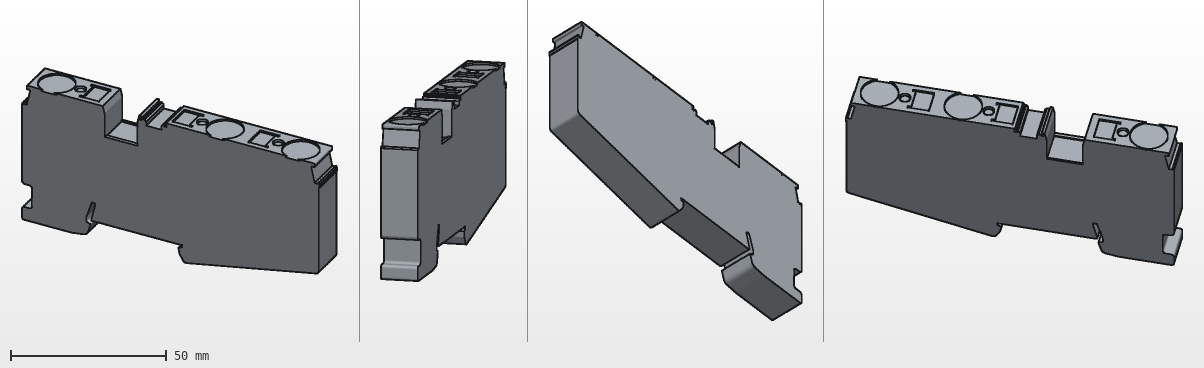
import cadquery as cq
import math

length = 108.1
thickness = 12.2
height = 50.6
mid_y = thickness / 2


def mirrored(x):
    """X of the matching place at the other end."""
    return length - x


right_edge = 107.9
tab_x = 1.7
tab_bottom = height - 1.4
tab_radius = 0.4
tab_lower_radius = 0.2
neck_x = 3.0
neck_radius = 0.4
ledge_z = 43.4
lip_z = ledge_z + 0.4
lip_crest_x = 0.3
lip_drop = 0.6
lip_width = 0.6
bead_bottom = 42.0

notch_left = 30.1
notch_right = 42.0
notch_floor = 39.2
notch_flare_z = 48.0
notch_flare = 0.6
groove_left = 45.2
groove_right = 50.7
groove_floor = 47.7
shoulder_z = 49.7
shoulder_chamfer = 0.6
undercut_z = 49.2

rail_floor = 6.5
rail_right = 58.2
foot_notch_x = 3.7
foot_notch_top = 13.4
foot_notch_bottom = 4.9
foot_radius = 1.0
foot_notch_lip_radius = 1.3

floor_front_rim = 1.3
floor_back_rim = 0.6
floor_depth = 0.4

first_entry_x = 9.7
middle_entry_x = 70.8
stations = [(first_entry_x, 1), (middle_entry_x, -1), (mirrored(first_entry_x), -1)]
recess_depth = 0.6
entry_diameter = thickness
entry_y = 5.7
test_hole_offset = 8.4
test_hole_diameter = 3.0
test_hole_rim = 3.7
slot_arm_offset = 10.2
slot_near_offset = 11.2
slot_far_offset = 17.2
slot_width = 8.3
slot_arm_width = 0.6


def rounded_outline(corners):
    """Closed XZ outline through (x, z, radius) corners; a zero radius leaves the corner sharp."""
    legs = []
    for i, (x, z, radius) in enumerate(corners):
        corner = cq.Vector(x, z, 0)
        before = cq.Vector(*corners[i - 1][:2], 0)
        after = cq.Vector(*corners[(i + 1) % len(corners)][:2], 0)
        to_before = (before - corner).normalized()
        to_after = (after - corner).normalized()
        half_angle = to_before.getAngle(to_after) / 2
        setback = radius / math.tan(half_angle)
        bisector = (to_before + to_after).normalized()
        middle = corner + bisector * (radius / math.sin(half_angle) - radius)
        legs.append((corner + to_before * setback, middle, corner + to_after * setback, radius))

    outline = cq.Workplane("XZ").moveTo(*legs[0][2].toTuple()[:2])
    for start, middle, end, radius in legs[1:] + legs[:1]:
        outline = outline.lineTo(start.x, start.y)
        if radius > 0:
            outline = outline.threePointArc((middle.x, middle.y), (end.x, end.y))
    return outline.close()


def housing():
    left_nose = [
        (0, lip_z - lip_drop, 0),
        (lip_crest_x, lip_z, 0),
        (lip_width, ledge_z, 0),
        (tab_x, ledge_z, 0),
        (neck_x, tab_bottom, neck_radius),
        (tab_x, tab_bottom, tab_lower_radius),
        (tab_x, height, tab_radius),
    ]
    marker_notch = [
        (notch_left - notch_flare, height, 0),
        (notch_left, notch_flare_z, 0),
        (notch_left, notch_floor, 0),
        (notch_right, notch_floor, 0),
        (notch_right, notch_flare_z, 0),
        (notch_right + notch_flare, height, 0),
    ]
    latch_groove = [
        (43.5, height, 0.3),
        (43.6, 50.0, 0.2),
        (43.0, 50.0, 0),
        (43.0, undercut_z, 0),
        (43.5, undercut_z, 0),
        (43.8, shoulder_z, 0),
        (groove_left - shoulder_chamfer, shoulder_z, 0),
        (groove_left, shoulder_z - shoulder_chamfer, 0),
        (groove_left, groove_floor, 0),
        (groove_right, groove_floor, 0),
        (groove_right, shoulder_z - shoulder_chamfer, 0),
        (groove_right + shoulder_chamfer, shoulder_z, 0),
        (51.7, shoulder_z, 0),
        (51.8, undercut_z, 0),
        (52.5, undercut_z, 0),
        (52.5, 50.0, 0),
        (52.1, 50.2, 0),
        (52.4, height, 0),
    ]
    right_nose = [(mirrored(x), z, radius) for x, z, radius in reversed(left_nose[1:])] + [
        (length, lip_z - lip_drop, 0),
        (length, bead_bottom, 0),
        (right_edge, bead_bottom, 0),
    ]
    right_foot = [
        (right_edge, 9.7, 1.3),
        (59.0, 0.1, 1.4),
        (57.2, 3.1, 1.1),
        (56.9, 5.2, 0),
        (rail_right, 5.7, 0.4),
        (rail_right, rail_floor, 0),
    ]
    spring_slot = [
        (25.1, rail_floor, 0.4),
        (26.9, 13.4, 0.6),
        (25.4, 13.4, 0.6),
        (23.5, 7.4, 0.6),
        (23.5, 5.6, 0.3),
        (25.0, 5.1, 0.2),
    ]
    left_foot = [
        (23.7, 0.8, 2.0),
        (18.3, 0, 0),
        (0, 0, foot_radius),
        (0, foot_notch_bottom, foot_radius),
        (foot_notch_x, foot_notch_bottom, foot_radius),
        (foot_notch_x, foot_notch_top, foot_radius),
        (0, foot_notch_top, foot_notch_lip_radius),
    ]
    corners = left_nose + marker_notch + latch_groove + right_nose + right_foot + spring_slot + left_foot
    return rounded_outline(corners).extrude(-thickness)


def box_between(x1, x2, y1, y2, top, depth):
    """Cutting block that reaches down from a face at height top."""
    return (
        cq.Workplane("XY", origin=((x1 + x2) / 2, (y1 + y2) / 2, top))
        .rect(abs(x2 - x1), y2 - y1)
        .extrude(-depth)
    )


def wire_entry(entry_x):
    return cq.Workplane("XY", origin=(entry_x, entry_y, height)).circle(entry_diameter / 2).extrude(-recess_depth)


def test_hole(hole_x):
    """Shallow recess that tapers from its rim to its floor."""
    return (
        cq.Workplane("XY", origin=(hole_x, mid_y, height))
        .circle(test_hole_rim / 2)
        .workplane(offset=-recess_depth)
        .circle(test_hole_diameter / 2)
        .loft(ruled=True)
    )


def screwdriver_slot(entry_x, direction):
    """Rectangular recess with two narrow arms that reach back towards the wire entry."""
    arm_x = entry_x + direction * slot_arm_offset
    near_x = entry_x + direction * slot_near_offset
    far_x = entry_x + direction * slot_far_offset
    front = mid_y - slot_width / 2
    back = mid_y + slot_width / 2
    slot = box_between(near_x, far_x, front, back, height, recess_depth)
    for arm_front in (front, back - slot_arm_width):
        arm = box_between(arm_x, near_x, arm_front, arm_front + slot_arm_width, height, recess_depth)
        slot = slot.union(arm)
    return slot


result = housing()
result = result.cut(
    box_between(notch_left, notch_right, floor_front_rim, thickness - floor_back_rim, notch_floor, floor_depth)
)
for entry_x, direction in stations:
    result = result.cut(wire_entry(entry_x))
    result = result.cut(test_hole(entry_x + direction * test_hole_offset))
    result = result.cut(screwdriver_slot(entry_x, direction))